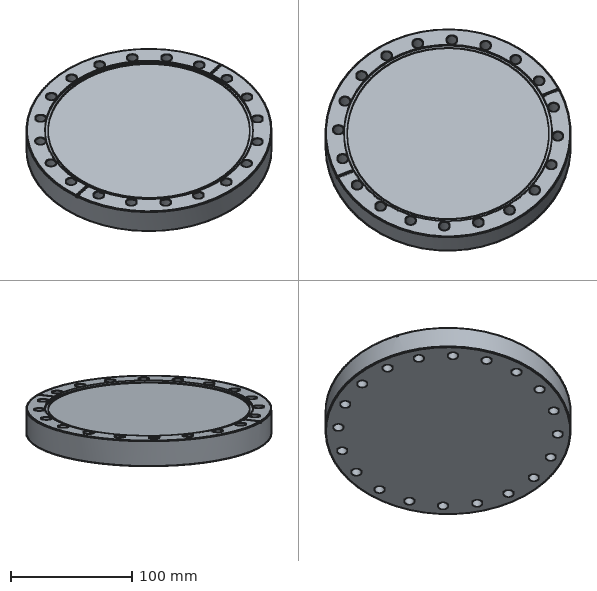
import cadquery as cq
import math

outer_diameter = 202.5
thickness = 22.3
edge_chamfer = 0.7

bolt_count = 20
bolt_circle_diameter = 181.0
bolt_hole_diameter = 8.5
bolt_hole_chamfer = 0.3
bolt_pitch = 360 / bolt_count

recess_radius = 85.8
recess_depth = 1.72
knife_radius = 83.2
knife_slope = 20
knife_height = (recess_radius - knife_radius) * math.tan(math.radians(knife_slope))
center_depth = 1.52

groove_width = 1.52
groove_depth = 1.5
groove_overlap = 0.1
groove_angle = 90 - bolt_pitch / 2


def flange_body():
    body = cq.Workplane("XY").circle(outer_diameter / 2).extrude(thickness)
    return body.faces("<Z or >Z").chamfer(edge_chamfer)


def gasket_recess():
    """Revolved cutter: flat middle, knife edge, then a cone falling outward to the recess wall."""
    center_floor = thickness - center_depth
    recess_floor = thickness - recess_depth
    knife_tip = recess_floor + knife_height
    profile = [
        (0, thickness),
        (0, center_floor),
        (knife_radius, center_floor),
        (knife_radius, knife_tip),
        (recess_radius, recess_floor),
        (recess_radius, thickness),
    ]
    return cq.Workplane("XZ").polyline(profile).close().revolve(360, (0, 0), (0, 1))


def bolt_holes():
    """Cutters for the through holes, flared at the top to leave a small chamfer."""
    radius = bolt_hole_diameter / 2
    profile = [
        (0, 0),
        (radius, 0),
        (radius, thickness - bolt_hole_chamfer),
        (radius + bolt_hole_chamfer, thickness),
        (0, thickness),
    ]
    cutter = cq.Workplane("XZ").polyline(profile).close().revolve(360, (0, 0), (0, 1)).val()
    return (
        cq.Workplane("XY")
        .polarArray(bolt_circle_diameter / 2, 0, 360, bolt_count)
        .eachpoint(lambda location: cutter.moved(location))
    )


def leak_check_groove(angle):
    """Square-bottomed radial groove from the gasket recess out through the rim."""
    outer_radius = outer_diameter / 2
    inner_radius = recess_radius - groove_overlap
    groove = cq.Workplane("XY", origin=(inner_radius, 0, thickness - groove_depth)).box(
        outer_radius - inner_radius, groove_width, groove_depth, centered=(False, True, False)
    )
    return groove.rotate((0, 0, 0), (0, 0, 1), angle)


result = flange_body().cut(gasket_recess()).cut(bolt_holes())
for angle in (groove_angle, groove_angle + 180):
    result = result.cut(leak_check_groove(angle))